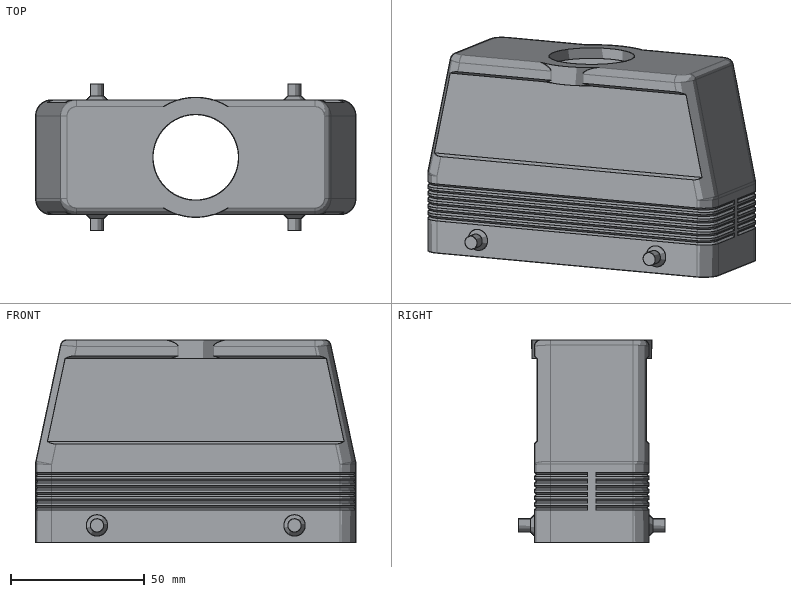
import math

import cadquery as cq

LENGTH = 120.0
WIDTH = 43.0
HEIGHT = 76.0
SKIRT_HEIGHT = 30.0
END_LEAN = math.radians(12.0)
BEND_RADIUS = 5.0
CORNER_RADIUS = 6.0
TOP_EDGE_RADIUS = 2.5

WALL = 3.5
ROOF = 4.0

RECESS_DEPTH = 1.0
RECESS_BOTTOM = 37.0
RECESS_TOP = 70.0

ENTRY_DIAMETER = 32.0
ENTRY_BOSS_DIAMETER = 45.0
ENTRY_BOSS_HEIGHT = 7.0

GROOVE_COUNT = 6
GROOVE_PITCH = 2.5
GROOVE_DEPTH = 0.8
GROOVE_FLANK_ANGLE = 45.0
LOWEST_GROOVE = 13.1
GRIP_BAR_WIDTH = 3.0

PIN_SPAN = 55.0
PIN_DIAMETER = 5.0
PIN_COLLAR_DIAMETER = 8.0
PIN_SPACING = 74.0
PIN_HEIGHT = 6.5
PIN_ROOT = 1.0

CLEARANCE = 1.0


def end_outline(half_length, height):
    """Front outline with upright lower sides and leaning upper sides, on the XZ plane."""
    top_half_length = half_length - (height - SKIRT_HEIGHT) * math.tan(END_LEAN)
    return cq.Workplane("XZ").polyline([
        (-half_length, 0),
        (half_length, 0),
        (half_length, SKIRT_HEIGHT),
        (top_half_length, height),
        (-top_half_length, height),
        (-half_length, SKIRT_HEIGHT),
    ]).close()


def make_body():
    body = end_outline(LENGTH / 2, HEIGHT).extrude(WIDTH / 2, both=True)
    for side in (-1, 1):
        bend = cq.selectors.NearestToPointSelector((side * LENGTH / 2, 0, SKIRT_HEIGHT))
        body = body.edges(bend).fillet(BEND_RADIUS)

    corner_edges = body.faces("<Y or >Y").edges("not |X")
    body = corner_edges.fillet(CORNER_RADIUS)
    return body.faces(">Z").edges().fillet(TOP_EDGE_RADIUS)


def make_cavity():
    return end_outline(LENGTH / 2 - WALL, HEIGHT - ROOF).extrude(WIDTH / 2 - WALL, both=True)


def make_recess(side):
    outer = side * (WIDTH / 2 + CLEARANCE)
    floor = side * (WIDTH / 2 - RECESS_DEPTH)
    flank = RECESS_DEPTH + CLEARANCE
    profile = cq.Workplane("YZ").polyline([
        (outer, RECESS_BOTTOM - CLEARANCE),
        (floor, RECESS_BOTTOM - CLEARANCE + flank),
        (floor, RECESS_TOP + CLEARANCE - flank),
        (outer, RECESS_TOP + CLEARANCE),
    ]).close()
    return profile.extrude(LENGTH / 2, both=True)


def make_entry_boss():
    return (
        cq.Workplane("XY", origin=(0, 0, HEIGHT - ENTRY_BOSS_HEIGHT))
        .circle(ENTRY_BOSS_DIAMETER / 2)
        .extrude(ENTRY_BOSS_HEIGHT)
    )


def make_entry_hole():
    return (
        cq.Workplane("XY", origin=(0, 0, HEIGHT - ROOF - CLEARANCE))
        .circle(ENTRY_DIAMETER / 2)
        .extrude(ROOF + 2 * CLEARANCE)
    )


def make_groove(root_height):
    """V-shaped ring around the skirt, left out at the bar in the middle of each end."""
    ring = (
        cq.Workplane("XY", origin=(0, 0, root_height - GROOVE_DEPTH))
        .rect(LENGTH + 2 * CLEARANCE, WIDTH + 2 * CLEARANCE)
        .extrude(2 * GROOVE_DEPTH)
    )
    lower_core = (
        cq.Workplane("XY", origin=(0, 0, root_height - GROOVE_DEPTH))
        .sketch().rect(LENGTH, WIDTH).vertices().fillet(CORNER_RADIUS).finalize()
        .extrude(GROOVE_DEPTH, taper=GROOVE_FLANK_ANGLE)
    )
    upper_core = lower_core.mirror("XY", (0, 0, root_height))
    bar = cq.Workplane("XY", origin=(0, 0, root_height)).box(
        LENGTH + 4 * CLEARANCE, GRIP_BAR_WIDTH, 4 * GROOVE_DEPTH
    )
    return ring.cut(lower_core).cut(upper_core).cut(bar)


def make_pin(x, side):
    """Locking pin with a 45 degree conical collar, pointing out of a long side."""
    pin_radius = PIN_DIAMETER / 2
    collar_radius = PIN_COLLAR_DIAMETER / 2
    collar_length = collar_radius - pin_radius
    wall_face = WIDTH / 2
    pin = (
        cq.Workplane("XY")
        .polyline([
            (0, wall_face - PIN_ROOT),
            (collar_radius, wall_face - PIN_ROOT),
            (collar_radius, wall_face),
            (pin_radius, wall_face + collar_length),
            (pin_radius, PIN_SPAN / 2),
            (0, PIN_SPAN / 2),
        ])
        .close()
        .revolve(360, (0, 0, 0), (0, 1, 0))
    )
    if side < 0:
        pin = pin.mirror("XZ")
    return pin.translate((x, 0, PIN_HEIGHT))


hood = make_body()
for side in (-1, 1):
    hood = hood.cut(make_recess(side))
hood = hood.union(make_entry_boss())
hood = hood.cut(make_cavity()).cut(make_entry_hole())

for index in range(GROOVE_COUNT):
    hood = hood.cut(make_groove(LOWEST_GROOVE + index * GROOVE_PITCH))

for x in (-PIN_SPACING / 2, PIN_SPACING / 2):
    for side in (-1, 1):
        hood = hood.union(make_pin(x, side))

result = hood